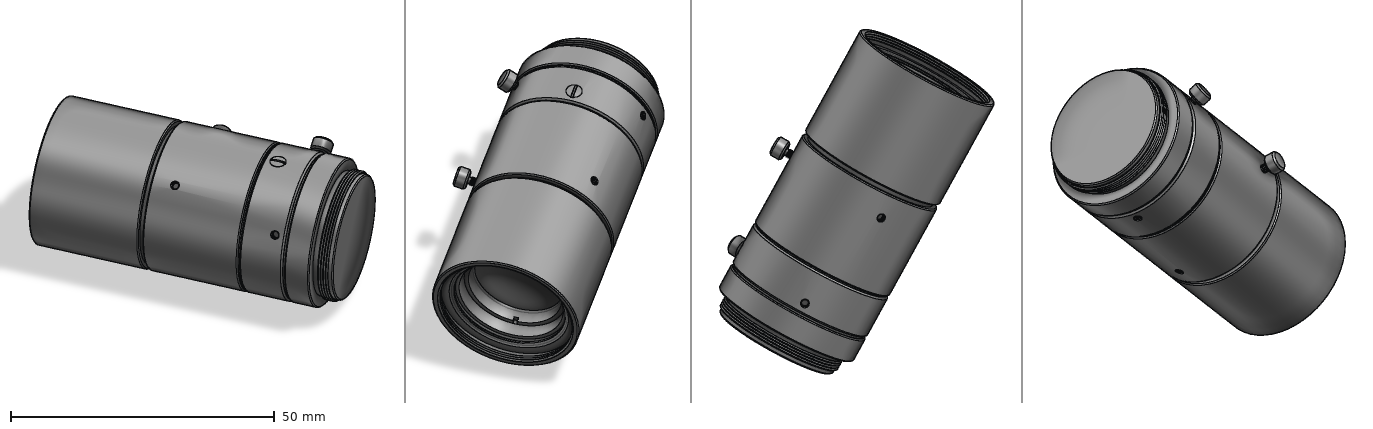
import cadquery as cq
import math

BARREL_RADIUS = 29.0 / 2
EDGE_CHAMFER = 0.25
FRONT_TUBE_END = 21.95
FOCUS_RING_START = 22.85
FOCUS_RING_END = 41.9
IRIS_RING_START = 42.2
IRIS_RING_END = 50.9
IRIS_RING_CHAMFER = 0.35
REAR_RING_START = 51.35
REAR_RING_END = 56.3
WIDE_GROOVE_RADIUS = 26.9 / 2
THIN_GROOVE_RADIUS = 28.0 / 2

MOUNT_END = 60.3
MOUNT_RADIUS = 24.4 / 2
MOUNT_ROOT_RADIUS = 24.85 / 2
MOUNT_CREST_RADIUS = 25.4 / 2
MOUNT_THREAD_START = 57.3
MOUNT_THREAD_PITCH = 0.51
MOUNT_THREAD_COUNT = 4

FILTER_ROOT_RADIUS = 26.9 / 2
FILTER_CREST_RADIUS = 26.2 / 2
FILTER_THREAD_START = 0.1
FILTER_THREAD_PITCH = 0.5
FILTER_THREAD_COUNT = 3
FILTER_FLOOR = 2.3
SEAT_MOUTH_RADIUS = 23.65 / 2
SEAT_ROOT_RADIUS = 22.9 / 2
SEAT_CREST_RADIUS = 22.1 / 2
SEAT_THREAD_START = 2.55
SEAT_THREAD_PITCH = 0.4
SEAT_THREAD_COUNT = 2
RETAINER_FACE = 3.8
RETAINER_MOUTH_RADIUS = 20.6 / 2
RETAINER_BORE_RADIUS = 20.15 / 2
LENS_CELL_FACE = 6.35
LENS_CELL_MOUTH_RADIUS = 18.45 / 2
LENS_CELL_BORE_RADIUS = 18.05 / 2
LENS_SEAT_START = 8.7
LENS_RADIUS = 17.7 / 2
LENS_EDGE = 9.15
LENS_BULGE = 1.2
SPANNER_SLOT_WIDTH = 0.85
SPANNER_SLOT_DEPTH = 0.9

FOCUS_SCREW_X = 27.55
FOCUS_SCREW_ANGLE = 10
IRIS_SCREW_X = 48.8
IRIS_SCREW_ANGLE = 30
SCREW_SPACING = 120
SCREW_THREAD_RADIUS = 1.7 / 2
SCREW_CORE_RADIUS = 1.3 / 2
SCREW_THREAD_PITCH = 0.35
SCREW_THREAD_COUNT = 4
SCREW_NECK = 0.5
SCREW_HOLE_TURNS = 4
KNOB_RADIUS = 4.0 / 2
KNOB_HEIGHT = 2.5
FOCUS_KNOB_BOTTOM = 15.9
IRIS_KNOB_BOTTOM = 15.25
KNOB_CHAMFER = 0.35

SLOT_SCREW_X = 45.0
SLOT_SCREW_RADIUS = 3.1 / 2
SLOT_SCREW_RISE = 0.2
SLOT_SCREW_TOP = BARREL_RADIUS + SLOT_SCREW_RISE
SLOT_SCREW_BURIED = 0.9
SLOT_WIDTH = 0.4
SLOT_DEPTH = 0.35


def thread_points(start, pitch, count, root, crest):
    """V-thread outline as (station, radius) points, crest in the middle of each pitch.

    A crest radius below the root radius gives an internal thread.
    """
    points = [(start, root)]
    for turn in range(count):
        points.append((start + (turn + 0.5) * pitch, crest))
        points.append((start + (turn + 1) * pitch, root))
    return points


def ring_points(start, end, chamfer=EDGE_CHAMFER):
    """Outline of a barrel ring with both outer edges chamfered."""
    return [
        (start, BARREL_RADIUS - chamfer),
        (start + chamfer, BARREL_RADIUS),
        (end - chamfer, BARREL_RADIUS),
        (end, BARREL_RADIUS - chamfer),
    ]


def groove_points(start, end, radius):
    """Floor of a groove between two rings."""
    return [(start, radius), (end, radius)]


def cap_sphere_radius(edge_radius, height):
    """Radius of the sphere whose cap has the given edge radius and height."""
    return (edge_radius**2 + height**2) / (2 * height)


def make_body():
    """Barrel, rear mount and front bore, turned about the X axis."""
    outside = (
        ring_points(0, FRONT_TUBE_END)
        + groove_points(FRONT_TUBE_END, FOCUS_RING_START, WIDE_GROOVE_RADIUS)
        + ring_points(FOCUS_RING_START, FOCUS_RING_END)
        + groove_points(FOCUS_RING_END, IRIS_RING_START, THIN_GROOVE_RADIUS)
        + ring_points(IRIS_RING_START, IRIS_RING_END, IRIS_RING_CHAMFER)
        + groove_points(IRIS_RING_END, REAR_RING_START, THIN_GROOVE_RADIUS)
        + ring_points(REAR_RING_START, REAR_RING_END)
    )
    mount_thread = thread_points(
        MOUNT_THREAD_START, MOUNT_THREAD_PITCH, MOUNT_THREAD_COUNT, MOUNT_ROOT_RADIUS, MOUNT_CREST_RADIUS
    )
    mount = (
        [(REAR_RING_END, MOUNT_RADIUS), (MOUNT_THREAD_START, MOUNT_RADIUS)]
        + mount_thread
        + [
            (mount_thread[-1][0], MOUNT_RADIUS),
            (MOUNT_END - EDGE_CHAMFER, MOUNT_RADIUS),
            (MOUNT_END, MOUNT_RADIUS - EDGE_CHAMFER),
            (MOUNT_END, 0),
        ]
    )
    filter_thread = thread_points(
        FILTER_THREAD_START,
        FILTER_THREAD_PITCH,
        FILTER_THREAD_COUNT,
        FILTER_ROOT_RADIUS,
        FILTER_CREST_RADIUS,
    )
    seat_thread = thread_points(
        SEAT_THREAD_START, SEAT_THREAD_PITCH, SEAT_THREAD_COUNT, SEAT_ROOT_RADIUS, SEAT_CREST_RADIUS
    )
    bore = (
        [(0, FILTER_ROOT_RADIUS)]
        + filter_thread
        + [(FILTER_FLOOR, FILTER_ROOT_RADIUS), (FILTER_FLOOR, SEAT_MOUTH_RADIUS)]
        + seat_thread
        + [
            (RETAINER_FACE, SEAT_CREST_RADIUS),
            (RETAINER_FACE, RETAINER_MOUTH_RADIUS),
            (LENS_CELL_FACE, RETAINER_BORE_RADIUS),
            (LENS_CELL_FACE, LENS_CELL_MOUTH_RADIUS),
            (LENS_SEAT_START, LENS_CELL_BORE_RADIUS),
            (LENS_EDGE, LENS_RADIUS),
        ]
    )
    sphere_radius = cap_sphere_radius(LENS_RADIUS, LENS_BULGE)
    lens_apex = LENS_EDGE - LENS_BULGE
    half_angle = math.asin(LENS_RADIUS / sphere_radius) / 2
    lens_middle = (
        lens_apex + sphere_radius * (1 - math.cos(half_angle)),
        sphere_radius * math.sin(half_angle),
    )
    return (
        cq.Workplane("XY")
        .moveTo(lens_apex, 0)
        .threePointArc(lens_middle, bore[-1])
        .polyline(list(reversed(bore[:-1])) + outside + mount, includeCurrent=True)
        .close()
        .revolve(360, (0, 0), (1, 0))
    )


def make_spanner_slots():
    """Two opposite slots across the face of the lens cell."""
    return (
        cq.Workplane("XY")
        .box(SPANNER_SLOT_DEPTH, SPANNER_SLOT_WIDTH, 2 * RETAINER_BORE_RADIUS, centered=(False, True, True))
        .translate((LENS_CELL_FACE, 0, 0))
    )


def turned_radially(outline):
    """Turn (height, radius) points about the Z axis; height is the distance from the barrel axis."""
    points = [(radius, height) for height, radius in outline]
    return cq.Workplane("XZ").polyline(points).close().revolve(360, (0, 0), (0, 1))


def place_around(shape, station, angle):
    """Move a shape built on the Z axis to a station on X and an angle measured from +Y toward +Z."""
    return shape.rotate((0, 0, 0), (1, 0, 0), angle - 90).translate((station, 0, 0))


def make_thumbscrew(knob_bottom):
    """Chamfered knob on a threaded stud with a plain neck; the stud ends inside the barrel."""
    knob_top = knob_bottom + KNOB_HEIGHT
    thread_start = knob_bottom - SCREW_NECK - SCREW_THREAD_COUNT * SCREW_THREAD_PITCH
    stud = thread_points(
        thread_start, SCREW_THREAD_PITCH, SCREW_THREAD_COUNT, SCREW_CORE_RADIUS, SCREW_THREAD_RADIUS
    )
    knob = [
        (knob_bottom, SCREW_CORE_RADIUS),
        (knob_bottom, KNOB_RADIUS - KNOB_CHAMFER),
        (knob_bottom + KNOB_CHAMFER, KNOB_RADIUS),
        (knob_top - KNOB_CHAMFER, KNOB_RADIUS),
        (knob_top, KNOB_RADIUS - KNOB_CHAMFER),
        (knob_top, 0),
    ]
    return turned_radially([(thread_start, 0)] + stud + knob)


def make_screw_hole():
    """Threaded blind hole, widest where it meets the barrel surface."""
    floor = BARREL_RADIUS - SCREW_HOLE_TURNS * SCREW_THREAD_PITCH
    cutter_top = BARREL_RADIUS + SCREW_THREAD_PITCH
    wall = thread_points(
        floor, SCREW_THREAD_PITCH, SCREW_HOLE_TURNS, SCREW_THREAD_RADIUS, SCREW_CORE_RADIUS
    )
    return turned_radially([(floor, 0)] + wall + [(cutter_top, SCREW_THREAD_RADIUS), (cutter_top, 0)])


def make_slot_screw():
    """Domed screw head, standing on the Z axis."""
    foot = BARREL_RADIUS - SLOT_SCREW_BURIED
    dome_radius = cap_sphere_radius(SLOT_SCREW_RADIUS, SLOT_SCREW_RISE)
    shank = cq.Workplane("XY").workplane(offset=foot).circle(SLOT_SCREW_RADIUS).extrude(SLOT_SCREW_TOP - foot)
    dome = cq.Workplane("XY").sphere(dome_radius).translate((0, 0, SLOT_SCREW_TOP - dome_radius))
    return shank.intersect(dome)


def make_screwdriver_slot():
    """Slot along X across the screw head."""
    return (
        cq.Workplane("XY")
        .workplane(offset=SLOT_SCREW_TOP - SLOT_DEPTH)
        .rect(2 * SLOT_SCREW_RADIUS, SLOT_WIDTH)
        .extrude(SLOT_DEPTH)
    )


result = make_body().cut(make_spanner_slots())

for station, first_angle, knob_bottom in (
    (FOCUS_SCREW_X, FOCUS_SCREW_ANGLE, FOCUS_KNOB_BOTTOM),
    (IRIS_SCREW_X, IRIS_SCREW_ANGLE, IRIS_KNOB_BOTTOM),
):
    thumbscrew = make_thumbscrew(knob_bottom)
    result = result.union(place_around(thumbscrew, station, first_angle))
    for step in (1, 2):
        hole_angle = first_angle + step * SCREW_SPACING
        result = result.cut(place_around(make_screw_hole(), station, hole_angle))

slot_screw_place = (SLOT_SCREW_X, 0, 0)
result = result.union(make_slot_screw().translate(slot_screw_place))
result = result.cut(make_screwdriver_slot().translate(slot_screw_place))